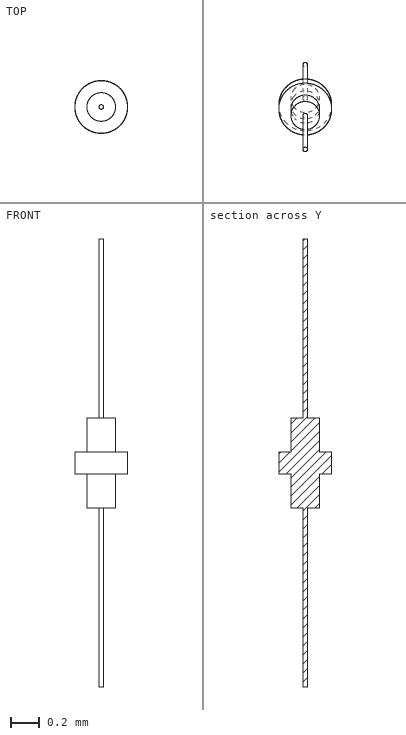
import cadquery as cq

pin_diameter = 0.032
pin_length = 3.13
sleeve_diameter = 0.20
sleeve_length = 0.63
flange_diameter = 0.37
flange_thickness = 0.155


def centred_cylinder(diameter, length):
    """Cylinder along Z, centred on the origin."""
    return cq.Workplane("XY", origin=(0, 0, -length / 2)).circle(diameter / 2).extrude(length)


pin = centred_cylinder(pin_diameter, pin_length)
sleeve = centred_cylinder(sleeve_diameter, sleeve_length)
flange = centred_cylinder(flange_diameter, flange_thickness)

result = flange.union(sleeve).union(pin)